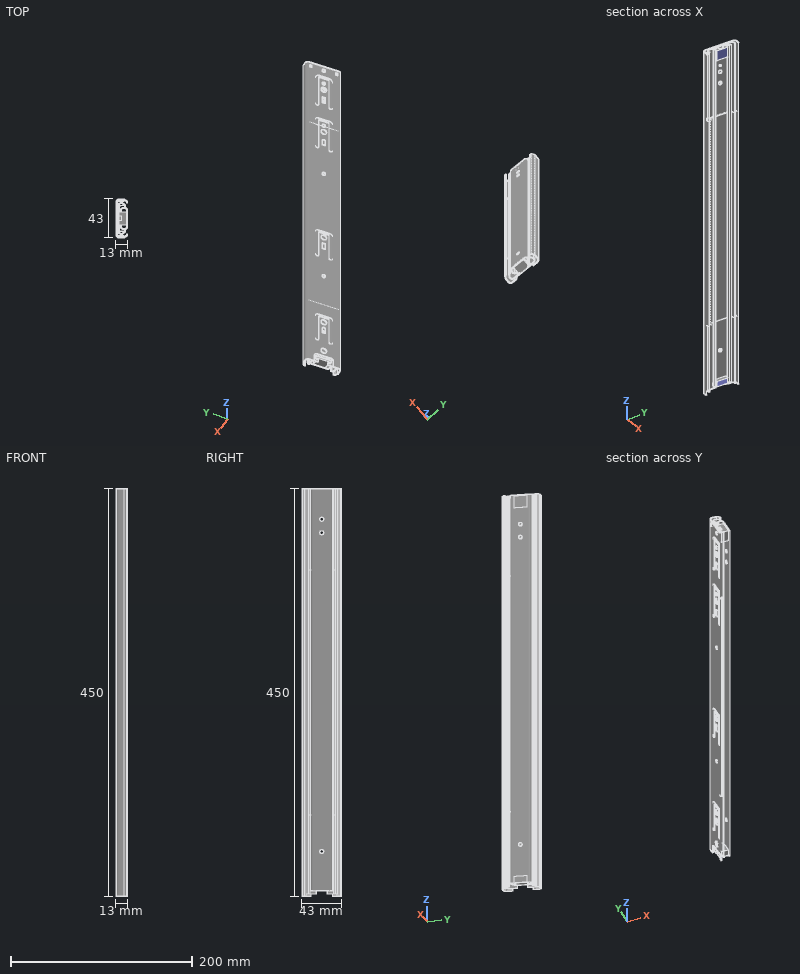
import cadquery as cq
import math


LENGTH = 450
SHEET = 1.12
BEND_RADIUS = 3.5
LIP_BEVEL = 3.5
LIP_SLOPE = 0.7

OUTER_BACK_X = -6.5
OUTER_FRONT_X = 6.5
OUTER_HALF_WIDTH = 21.5
OUTER_LIP_Y = 17.0

MIDDLE_BACK_X = -4.28
MIDDLE_FRONT_X = 4.28
MIDDLE_HALF_WIDTH = 17.5
MIDDLE_LIP_Y = 13.0
MIDDLE_BOTTOM_Z = 2.2

INNER_BACK_X = OUTER_FRONT_X
INNER_FRONT_X = -1.5
INNER_HALF_WIDTH = 12.0
INNER_LIP_Y = 7.5
INNER_BOTTOM_Z = 6.0
INNER_BEND_RADIUS = 2.5
INNER_LIP_BEVEL = 2.2

SMALL_HOLE = 4.0
SMALL_HOLE_ZS = (443.5, 424.5, 360.5, 287.5, 132.8)
LARGE_HOLE = 6.8
LARGE_HOLE_ZS = (415.0, 351, 191.2, 63, 20.0)
SLOT_WIDTH = 4.0
SLOT_HEIGHT = 8.0
ROUND_SLOT_ZS = (335.2, 51.0)
SQUARE_SLOT_ZS = (399.0, 178.0)
CORNER_WINDOW = 2.5
CORNER_WINDOW_Y = 15.8
CORNER_WINDOW_Z = 444.5

RIVET_HOLE = 2.2
RIVET_HOLE_ZS = (443.5, 424.5)
SCREW_HOLE = 4.0
SCREW_HOLE_ZS = (416.2, 401.5, 49.5)

GROOVE_HALF_WIDTH = 10.5
GROOVE_LEG = 4.0
GROOVE_BAR = 2.5
GROOVE_DEPTH = 1.0
GROOVE_KNEE = 1.5
GROOVE_KNEE_DEPTH = 0.2
GROOVES = (
    (434.2, 46.0, 5.5),
    (369.5, 45.5, 3.5),
    (200.0, 39.5, 3.5),
    (72.5, 39.5, 3.5),
)

OUTER_NOTCH_HALF_WIDTH = 11.5
OUTER_NOTCH_HEIGHT = 11.5
OUTER_NOTCH_RADIUS = 3.5
MIDDLE_NOTCH_HALF_WIDTH = 6.0

CAGE_SHEET = 0.5
CAGE_CORNER = 2.0
CAGE_CLEARANCE = 0.22
CAGE_BOTTOM_Z = 90
CAGE_TOP_Z = 360
CAGE_FRONT_X = 2.2

BLOCK_HALF_WIDTH = 7.0
BLOCK_HEIGHT = 13.5
BLOCK_TOP_Z = 449.0
BLOCK_POCKET_X = 2.5
BLOCK_POCKET_Y = 5.0
BLOCK_POCKET_DEPTH = 2.0
BUMPER_TOP_Z = 13.5
NOSE_BACK_X = -5.5
NOSE_HALF_WIDTH = 9.5
NOSE_TOP_Z = 9.5

NEARLY_HALF = 0.49

OUTER_WEB_INSIDE_X = OUTER_BACK_X + SHEET
MIDDLE_WEB_INSIDE_X = MIDDLE_BACK_X + SHEET
INNER_WEB_INSIDE_X = INNER_BACK_X - SHEET
BEVEL_LOSS = 1 + 1 / LIP_SLOPE - math.hypot(1, 1 / LIP_SLOPE)


def box(x_range, y_range, z_range):
    """Axis-parallel box between the given limits."""
    size = [high - low for low, high in (x_range, y_range, z_range)]
    corner = (x_range[0], y_range[0], z_range[0])
    return cq.Workplane("XY").box(*size, centered=False).translate(corner)


def bar(back_x, front_x, half_width, bottom_z, top_z, back_radius, bevel=0):
    """Bar along Z, rounded at the two edges at back_x and, if asked, bevelled at front_x."""
    forward = 1 if front_x > back_x else -1
    outline = cq.Workplane("XY", origin=(0, 0, bottom_z)).moveTo(back_x, -half_width)
    if bevel:
        bevel_x = front_x - forward * bevel
        front_y = half_width - bevel * LIP_SLOPE
        outline = outline.lineTo(bevel_x, -half_width).lineTo(front_x, -front_y)
        outline = outline.lineTo(front_x, front_y).lineTo(bevel_x, half_width)
    else:
        outline = outline.lineTo(front_x, -half_width).lineTo(front_x, half_width)
    blank = outline.lineTo(back_x, half_width).close().extrude(top_z - bottom_z)
    back_edges = "|Z and <X" if forward > 0 else "|Z and >X"
    return blank.edges(back_edges).fillet(back_radius)


def c_rail(back_x, front_x, half_width, lip_y, bottom_z, back_radius, bevel):
    """C-shaped sheet rail: a hollow bar with bevelled front edges and an open gap between its lips."""
    inward = SHEET if front_x > back_x else -SHEET
    outside = bar(back_x, front_x, half_width, bottom_z, LENGTH, back_radius, bevel)
    inside = bar(
        back_x + inward,
        front_x - inward,
        half_width - SHEET,
        bottom_z,
        LENGTH,
        back_radius - SHEET,
        bevel - BEVEL_LOSS * SHEET,
    )
    mouth_limits = sorted((back_x + inward, front_x))
    mouth = box(mouth_limits, (-lip_y, lip_y), (bottom_z, LENGTH))
    return outside.cut(inside).cut(mouth)


def holes(diameter, heights, web_x):
    """Round cutters through a web that starts at web_x, on the centre line."""
    centres = [(0, z) for z in heights]
    return cq.Workplane("YZ", origin=(web_x, 0, 0)).pushPoints(centres).circle(diameter / 2).extrude(SHEET)


def outer_slots():
    """Upright slots with a flat lower end; the round ones have a full radius at the top."""
    centres = [(0, z) for z in SQUARE_SLOT_ZS + ROUND_SLOT_ZS]
    plane = cq.Workplane("YZ", origin=(OUTER_BACK_X, 0, 0))
    slots = plane.pushPoints(centres).rect(SLOT_WIDTH, SLOT_HEIGHT).extrude(SHEET)
    for z in ROUND_SLOT_ZS:
        near_slot = cq.selectors.BoxSelector(
            (OUTER_BACK_X, -SLOT_WIDTH, z), (OUTER_BACK_X + SHEET, SLOT_WIDTH, z + SLOT_HEIGHT)
        )
        slots = slots.edges("|X").edges(near_slot).fillet(SLOT_WIDTH * NEARLY_HALF)
    return slots


def corner_windows():
    """Square windows in front of the bends of the middle rail."""
    centres = [(side * CORNER_WINDOW_Y, CORNER_WINDOW_Z) for side in (-1, 1)]
    plane = cq.Workplane("YZ", origin=(OUTER_BACK_X, 0, 0))
    return plane.pushPoints(centres).rect(CORNER_WINDOW, CORNER_WINDOW).extrude(SHEET)


def u_groove(top_z, length, radius):
    """Upside-down U groove; each leg slopes gently at first, then steeply to its inner edge."""
    inside_y = GROOVE_HALF_WIDTH - GROOVE_LEG
    bottom_z = top_z - length
    floor_x = OUTER_BACK_X + GROOVE_DEPTH
    depth_range = (OUTER_BACK_X, floor_x)
    outline = box(depth_range, (-GROOVE_HALF_WIDTH, GROOVE_HALF_WIDTH), (bottom_z, top_z))
    outline = outline.edges("|X and >Z").fillet(radius)
    island = box(depth_range, (-inside_y, inside_y), (bottom_z, top_z - GROOVE_BAR))
    groove = outline.cut(island).edges("|X and <Z").fillet(GROOVE_LEG * NEARLY_HALF)
    for side in (-1, 1):
        ramp = (
            cq.Workplane("XY", origin=(0, 0, bottom_z))
            .moveTo(OUTER_BACK_X, side * GROOVE_HALF_WIDTH)
            .lineTo(OUTER_BACK_X + GROOVE_KNEE_DEPTH, side * (GROOVE_HALF_WIDTH - GROOVE_KNEE))
            .lineTo(floor_x, side * inside_y)
            .lineTo(floor_x, side * GROOVE_HALF_WIDTH)
            .close()
            .extrude(length)
        )
        groove = groove.cut(ramp)
    return groove


def make_outer_rail():
    rail = c_rail(
        OUTER_BACK_X, OUTER_FRONT_X, OUTER_HALF_WIDTH, OUTER_LIP_Y, 0, BEND_RADIUS, LIP_BEVEL
    )
    notch = box(
        (OUTER_BACK_X, OUTER_WEB_INSIDE_X),
        (-OUTER_NOTCH_HALF_WIDTH, OUTER_NOTCH_HALF_WIDTH),
        (0, OUTER_NOTCH_HEIGHT),
    )
    rail = rail.cut(notch.edges("|X and >Z").fillet(OUTER_NOTCH_RADIUS))
    rail = rail.cut(holes(SMALL_HOLE, SMALL_HOLE_ZS, OUTER_BACK_X))
    rail = rail.cut(holes(LARGE_HOLE, LARGE_HOLE_ZS, OUTER_BACK_X))
    rail = rail.cut(outer_slots())
    rail = rail.cut(corner_windows())
    for top_z, length, radius in GROOVES:
        rail = rail.cut(u_groove(top_z, length, radius))
    return rail


def make_middle_rail():
    rail = c_rail(
        MIDDLE_BACK_X,
        MIDDLE_FRONT_X,
        MIDDLE_HALF_WIDTH,
        MIDDLE_LIP_Y,
        MIDDLE_BOTTOM_Z,
        BEND_RADIUS,
        LIP_BEVEL,
    )
    web_limits = (MIDDLE_BACK_X, MIDDLE_WEB_INSIDE_X)
    notch = box(
        web_limits, (-MIDDLE_NOTCH_HALF_WIDTH, MIDDLE_NOTCH_HALF_WIDTH), (MIDDLE_BOTTOM_Z, INNER_BOTTOM_Z)
    )
    nose_window = box(web_limits, (-NOSE_HALF_WIDTH, NOSE_HALF_WIDTH), (INNER_BOTTOM_Z, NOSE_TOP_Z))
    rail = rail.cut(notch).cut(nose_window)
    rail = rail.cut(holes(RIVET_HOLE, RIVET_HOLE_ZS, MIDDLE_BACK_X))
    return rail.cut(holes(SCREW_HOLE, SCREW_HOLE_ZS, MIDDLE_BACK_X))


def make_inner_rail():
    rail = c_rail(
        INNER_BACK_X,
        INNER_FRONT_X,
        INNER_HALF_WIDTH,
        INNER_LIP_Y,
        INNER_BOTTOM_Z,
        INNER_BEND_RADIUS,
        INNER_LIP_BEVEL,
    )
    return rail.cut(holes(SCREW_HOLE, SCREW_HOLE_ZS, INNER_WEB_INSIDE_X))


def make_cage(back_x, front_x, half_width):
    """U-shaped cage with one strip in each ball gap and a web joining them."""
    outside = bar(back_x, front_x, half_width, CAGE_BOTTOM_Z, CAGE_TOP_Z, CAGE_CORNER)
    inside = bar(
        back_x + CAGE_SHEET,
        front_x,
        half_width - CAGE_SHEET,
        CAGE_BOTTOM_Z,
        CAGE_TOP_Z,
        CAGE_CORNER - CAGE_SHEET,
    )
    return outside.cut(inside)


def gap_centre(rail_half_width, next_rail_half_width):
    """Half width of a cage whose strips are centred between two nested flanges."""
    return (rail_half_width - SHEET + next_rail_half_width + CAGE_SHEET) / 2


def make_stop_block():
    block = box(
        (MIDDLE_WEB_INSIDE_X, INNER_WEB_INSIDE_X),
        (-BLOCK_HALF_WIDTH, BLOCK_HALF_WIDTH),
        (BLOCK_TOP_Z - BLOCK_HEIGHT, BLOCK_TOP_Z),
    )
    pocket = box(
        (MIDDLE_WEB_INSIDE_X, MIDDLE_WEB_INSIDE_X + BLOCK_POCKET_X),
        (-BLOCK_POCKET_Y / 2, BLOCK_POCKET_Y / 2),
        (BLOCK_TOP_Z - BLOCK_POCKET_DEPTH, BLOCK_TOP_Z),
    )
    return block.cut(pocket)


def make_bumper():
    """Body between the middle and inner webs, with a nose through the middle web."""
    body = box(
        (MIDDLE_WEB_INSIDE_X, INNER_WEB_INSIDE_X),
        (-BLOCK_HALF_WIDTH, BLOCK_HALF_WIDTH),
        (INNER_BOTTOM_Z, BUMPER_TOP_Z),
    )
    nose = box(
        (NOSE_BACK_X, MIDDLE_WEB_INSIDE_X),
        (-NOSE_HALF_WIDTH, NOSE_HALF_WIDTH),
        (INNER_BOTTOM_Z, NOSE_TOP_Z),
    )
    return body.union(nose)


outer_rail = make_outer_rail()
middle_rail = make_middle_rail()
inner_rail = make_inner_rail()
outer_cage = make_cage(
    OUTER_WEB_INSIDE_X + CAGE_CLEARANCE,
    CAGE_FRONT_X,
    gap_centre(OUTER_HALF_WIDTH, MIDDLE_HALF_WIDTH),
)
inner_cage = make_cage(
    MIDDLE_WEB_INSIDE_X + CAGE_CLEARANCE,
    CAGE_FRONT_X,
    gap_centre(MIDDLE_HALF_WIDTH, INNER_HALF_WIDTH),
)
stop_block = make_stop_block()
bumper = make_bumper()

result = cq.Compound.makeCompound(
    [
        outer_rail.val(),
        middle_rail.val(),
        inner_rail.val(),
        outer_cage.val(),
        inner_cage.val(),
        stop_block.val(),
        bumper.val(),
    ]
)